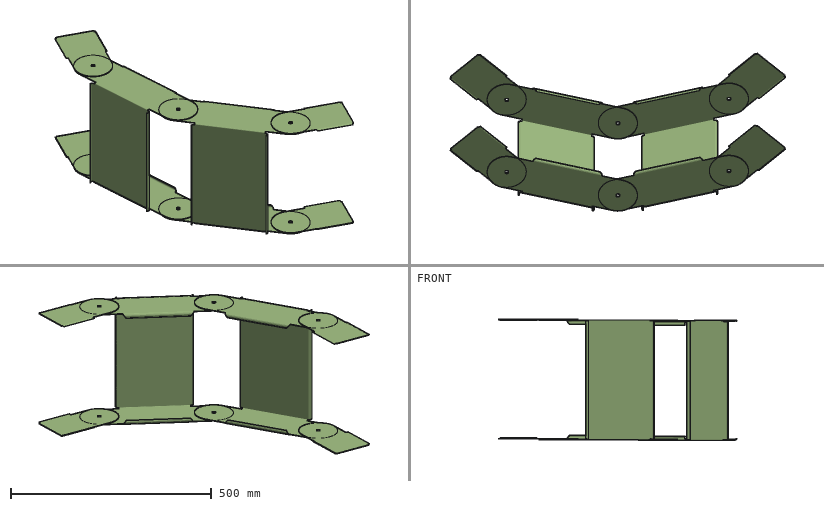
import cadquery as cq
import math

overall_length = 595.0
overall_height = 303.5

thickness = 2.0
curl_radius = 6.5
lip_angle = 50.0
curl_angle = 150.0
bend_radius = 2.7
bend_angle = 90.0
taper = 0.8

turn_angle = 30.0
joint_spacing = 287.0
half_width = 49.0
pivot_hole_diameter = 9.5

channel_height = overall_height - 2 * thickness
channel_edge_length = 180.0
flange_reach = 3.5
panel_length = 183.5

turn = math.radians(turn_angle)
joint_span = joint_spacing * (math.cos(turn) + math.sin(turn))
lip_reach = curl_radius * math.sin(math.radians(lip_angle))
tab_length = overall_length - joint_span - half_width - lip_reach
tab_lip_length = 96.5
tab_lip_inset = 2.0
tab_height = channel_height


def rolled_edge(origin, outward, inward, radius, angle, length, end_taper=0.0):
    """Edge strip centred on `origin` that leaves along `outward` and rolls towards `inward`."""
    sweep = math.radians(angle)
    inner_radius = radius - thickness

    def on_arc(arc_radius, fraction):
        turned = sweep * fraction
        return arc_radius * math.sin(turned), radius - arc_radius * math.cos(turned)

    strip = (
        cq.Workplane("XY")
        .moveTo(*on_arc(radius, 0))
        .threePointArc(on_arc(radius, 0.5), on_arc(radius, 1))
        .lineTo(*on_arc(inner_radius, 1))
        .threePointArc(on_arc(inner_radius, 0.5), on_arc(inner_radius, 0))
        .close()
        .extrude(length / 2, both=True)
    )
    if end_taper:
        depth = 2 * radius
        half_root = length / 2
        half_tip = half_root - end_taper * depth
        trapezoid = (
            cq.Workplane("YZ")
            .polyline([(0, -half_root), (depth, -half_tip), (depth, half_tip), (0, half_root)])
            .close()
            .extrude(depth, both=True)
        )
        strip = strip.intersect(trapezoid)
    outward = cq.Vector(*outward)
    normal = outward.cross(cq.Vector(*inward))
    return cq.Workplane(strip.val().moved(cq.Location(cq.Plane(origin, outward, normal))))


def with_mirror(shape, plane, base):
    """The shape fused with its mirror image."""
    return shape.union(shape.mirror(plane, base))


def pivot_hole(x):
    """Drill along Z through the full height at a pivot."""
    return (
        cq.Workplane("XY")
        .center(x, 0)
        .circle(pivot_hole_diameter / 2)
        .extrude(overall_height)
    )


def channel():
    """Two round-ended plates joined by a hooked panel, with the first pivot on the Z axis."""
    middle = joint_spacing / 2
    mid_height = (0, 0, channel_height / 2)
    bend_start = half_width + flange_reach
    panel_outside = bend_start + bend_radius
    panel_inside = panel_outside - thickness
    panel_height = channel_height - 2 * bend_radius

    plate = (
        cq.Workplane("XY", origin=(middle, 0, channel_height - thickness))
        .slot2D(joint_spacing + 2 * half_width, 2 * half_width)
        .extrude(thickness)
    )
    inner_curl = rolled_edge(
        (middle, half_width, channel_height), (0, 1, 0), (0, 0, -1),
        curl_radius, curl_angle, channel_edge_length, taper,
    )
    flange = (
        cq.Workplane("XY", origin=(middle, 0, channel_height - thickness))
        .center(0, -bend_start / 2)
        .rect(channel_edge_length, bend_start)
        .extrude(thickness)
    )
    panel_bend = rolled_edge(
        (middle, -bend_start, channel_height), (0, -1, 0), (0, 0, -1),
        bend_radius, bend_angle, channel_edge_length,
    )
    plates = with_mirror(plate.union(inner_curl).union(flange).union(panel_bend), "XY", mid_height)

    panel = cq.Workplane("XY").box(panel_length, thickness, panel_height).translate(
        (middle, -panel_outside + thickness / 2, channel_height / 2)
    )
    hook = rolled_edge(
        (middle - panel_length / 2, -panel_inside, channel_height / 2),
        (-1, 0, 0), (0, -1, 0), curl_radius, curl_angle, panel_height,
    )
    hooks = with_mirror(hook, "YZ", (middle, 0, 0))
    body = plates.union(panel).union(hooks)
    return body.cut(pivot_hole(0)).cut(pivot_hole(joint_spacing))


def tab_pair():
    """Upper and lower end tabs reaching along -X, with their pivot on the Z axis."""
    plate = (
        cq.Workplane("XY", origin=(0, 0, tab_height - thickness))
        .moveTo(0, half_width)
        .lineTo(-tab_length, half_width)
        .lineTo(-tab_length, -half_width)
        .lineTo(0, -half_width)
        .threePointArc((half_width, 0), (0, half_width))
        .close()
        .extrude(thickness)
    )
    lip_middle = -tab_length + tab_lip_inset + tab_lip_length / 2
    lip = rolled_edge(
        (lip_middle, half_width, tab_height), (0, 1, 0), (0, 0, -1),
        curl_radius, lip_angle, tab_lip_length, taper,
    )
    upper = plate.union(with_mirror(lip, "XZ", (0, 0, 0)))
    return with_mirror(upper, "XY", (0, 0, tab_height / 2)).cut(pivot_hole(0))


def chain_section():
    """A channel turned off the X axis, with the end tabs resting on its plates at the first pivot."""
    turned_channel = channel().rotate((0, 0, 0), (0, 0, 1), turn_angle)
    return turned_channel.union(tab_pair().translate((0, 0, thickness)))


first_section = chain_section().translate((0, 0, thickness))

middle_joint = (joint_spacing * math.cos(turn), joint_spacing * math.sin(turn), 0)
second_section = chain_section().mirror(cq.Vector(1, 1, 0), middle_joint)

result = cq.Compound.makeCompound([first_section.val(), second_section.val()])